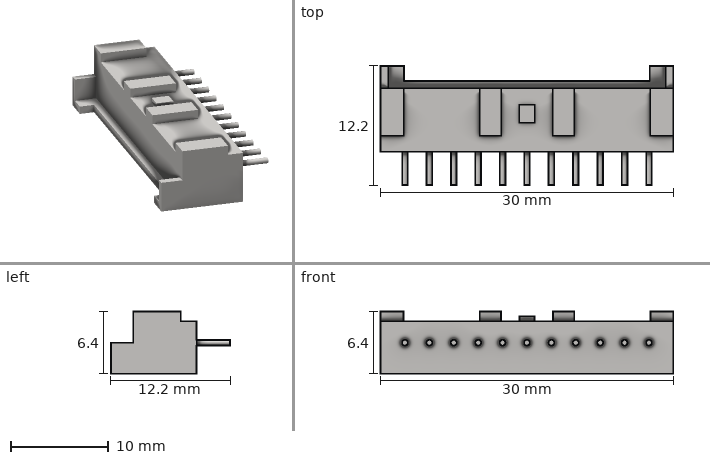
import cadquery as cq

length = 30.0
height = 6.4
body_depth = 8.8
rib_height = 1.0
roof_height = height - rib_height

shelf_depth = 2.28
shelf_height = 3.18
wall = 0.8
floor_height = wall
floor_notch_inset = 2.43
floor_notch_depth = 1.53
shelf_start = body_depth - shelf_depth

rib_front = 1.62
rib_length = shelf_start - rib_front
end_rib_width = 2.37
middle_rib_width = 2.2
middle_rib_offset = 3.75
key_width = 1.55
key_length = 1.83
key_front = 2.97
key_height = 0.5

pin_count = 11
pin_row_span = 25.0
pin_pitch = pin_row_span / (pin_count - 1)
pin_diameter = 0.6
pin_length = 3.42
pin_height = 3.18


def block(width, depth, block_height, center_x, front_y, bottom_z):
    """Box centred on center_x, reaching back from front_y and up from bottom_z."""
    box = cq.Workplane("XY").box(width, depth, block_height, centered=(True, False, False))
    return box.translate((center_x, front_y, bottom_z))


def make_housing():
    body = block(length, shelf_start, roof_height, 0, 0, 0)
    shelf = block(length, shelf_depth, shelf_height, 0, shelf_start, 0)
    recess = block(length - 2 * wall, shelf_depth, shelf_height, 0, shelf_start, floor_height)
    floor_notch = block(
        length - 2 * floor_notch_inset, floor_notch_depth, shelf_height,
        0, body_depth - floor_notch_depth, 0,
    )
    return body.union(shelf.cut(recess).cut(floor_notch))


def add_roof_features(part):
    end_rib_offset = (length - end_rib_width) / 2
    for side in (-1, 1):
        for offset, width in (
            (end_rib_offset, end_rib_width),
            (middle_rib_offset, middle_rib_width),
        ):
            part = part.union(block(width, rib_length, rib_height, side * offset, rib_front, roof_height))
    return part.union(block(key_width, key_length, key_height, 0, key_front, roof_height))


def make_pins():
    return (
        cq.Workplane("XZ")
        .center(0, pin_height)
        .rarray(pin_pitch, 0.3, pin_count, 1)
        .circle(pin_diameter / 2)
        .extrude(pin_length)
    )


result = add_roof_features(make_housing()).union(make_pins())